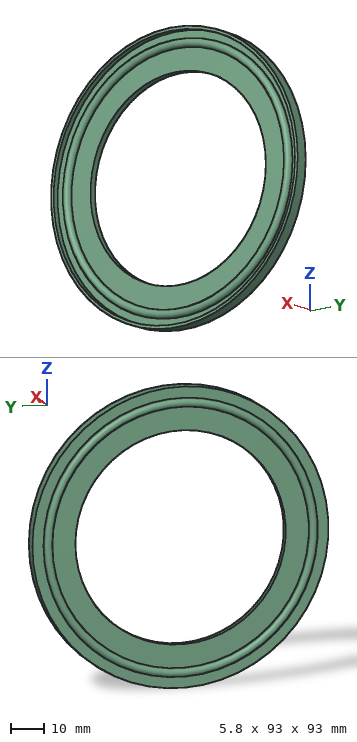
import cadquery as cq

outer_radius = 46.5
bore_radius = 33.0
total_depth = 5.8
bead_height = 1.7
web_thickness = 2.0
bead_middle_radius = 41.7
bead_base_width = 2.8
crown_radius = 1.3
bore_swell = 0.14
lip_inner_radius = 45.5

mid_x = bead_height + web_thickness / 2
web_half = web_thickness / 2
bead_outer_radius = bead_middle_radius + bead_base_width / 2
bead_inner_radius = bead_middle_radius - bead_base_width / 2


def ring(points):
    """Revolve a closed (X, radius) outline about the X axis."""
    return cq.Workplane("XY").polyline(points).close().revolve(360, (0, 0, 0), (1, 0, 0))


def web():
    """Flat outside the bead, thickening slightly from the bead to the bore."""
    front_x = mid_x - web_half
    back_x = mid_x + web_half
    return ring([
        (front_x - bore_swell, bore_radius),
        (front_x, bead_inner_radius),
        (front_x, outer_radius),
        (back_x, outer_radius),
        (back_x, bead_inner_radius),
        (back_x + bore_swell, bore_radius),
    ])


def lip():
    """Rim wall that locates the gasket over a flange."""
    return ring([
        (mid_x, lip_inner_radius),
        (total_depth, lip_inner_radius),
        (total_depth, outer_radius),
        (mid_x, outer_radius),
    ])


def bead():
    """Bead with a semicircular crown and slightly sloping flanks, rising from -X."""
    return (
        cq.Workplane("XY")
        .moveTo(mid_x, bead_inner_radius)
        .lineTo(mid_x, bead_outer_radius)
        .lineTo(bead_height, bead_outer_radius)
        .lineTo(crown_radius, bead_middle_radius + crown_radius)
        .threePointArc((0, bead_middle_radius), (crown_radius, bead_middle_radius - crown_radius))
        .lineTo(bead_height, bead_inner_radius)
        .close()
        .revolve(360, (0, 0, 0), (1, 0, 0))
    )


front_bead = bead()
back_bead = front_bead.mirror("YZ", (mid_x, 0, 0))
result = web().union(lip()).union(front_bead).union(back_bead)